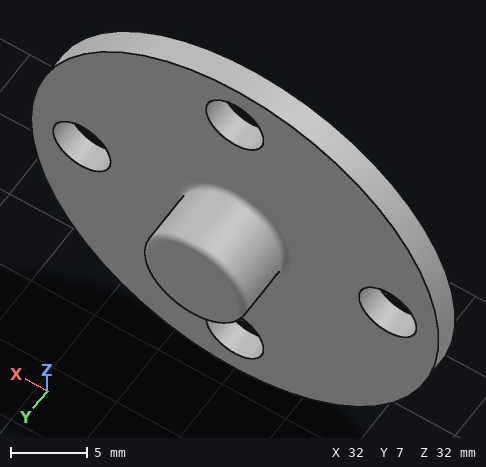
import cadquery as cq

flange_diameter = 32.0
flange_thickness = 2.0

overall_depth = 7.0
boss_diameter = 8.0
boss_height = overall_depth - flange_thickness
boss_edge_round = 0.5
boss_root_fillet = 0.5

hole_count = 4
hole_diameter = 4.5
hole_circle_diameter = 24.0


def make_flange():
    """Plain disc from Y = 0 to the flange thickness."""
    return cq.Workplane("XZ").circle(flange_diameter / 2).extrude(-flange_thickness)


def add_boss(body):
    """Boss with a rounded free edge and a fillet at its root."""
    boss = (
        cq.Workplane("XZ", origin=(0, flange_thickness, 0))
        .circle(boss_diameter / 2)
        .extrude(-boss_height)
        .faces(">Y")
        .edges()
        .fillet(boss_edge_round)
    )
    zone_reach = boss_diameter / 2 + boss_root_fillet
    root_zone = cq.selectors.BoxSelector(
        (-zone_reach, flange_thickness - boss_root_fillet, -zone_reach),
        (zone_reach, flange_thickness + boss_root_fillet, zone_reach),
        boundingbox=True,
    )
    return body.union(boss).edges("%CIRCLE").edges(root_zone).fillet(boss_root_fillet)


def cut_mounting_holes(body):
    """Through holes on a circle around the flange axis."""
    holes = (
        cq.Workplane("XZ")
        .polarArray(hole_circle_diameter / 2, 0, 360, hole_count)
        .circle(hole_diameter / 2)
        .extrude(-flange_thickness)
    )
    return body.cut(holes)


result = cut_mounting_holes(add_boss(make_flange()))